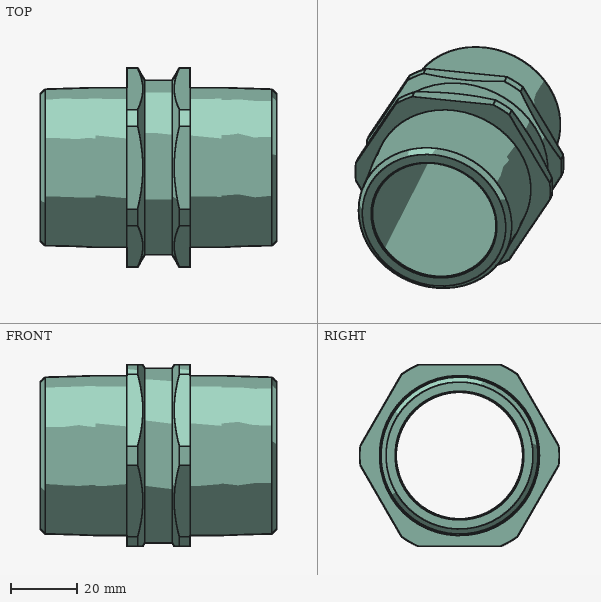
import cadquery as cq
import math

length = 71.7
body_diameter = 48.5
bore_diameter = 38.3
bore_chamfer = 0.35

taper_start = 19.0
taper_ratio = 1 / 16
end_chamfer = 1.5

across_flats = 55.0
corner_diameter = 60.45
collar_outer_face = 9.55
corner_land = 3.2
band_diameter = 53.0
collar_cone_angle = 30.0

half_length = length / 2
body_radius = body_diameter / 2
bore_radius = bore_diameter / 2
corner_radius = corner_diameter / 2
band_radius = band_diameter / 2
chamfer_start = half_length - end_chamfer
tip_radius = body_radius - (chamfer_start - taper_start) * taper_ratio / 2
land_end = collar_outer_face - corner_land
cone_length = (corner_radius - band_radius) * math.tan(math.radians(collar_cone_angle))
cone_end = land_end - cone_length


def revolve_symmetric(half_profile):
    """Revolve about X a profile of (x, radius) points mirrored across x = 0."""
    mirrored = [(-x, radius) for x, radius in reversed(half_profile)]
    outline = mirrored + half_profile
    return cq.Workplane("XY").polyline(outline).close().revolve(360, (0, 0, 0), (1, 0, 0))


def make_body():
    return revolve_symmetric([
        (taper_start, body_radius),
        (chamfer_start, tip_radius),
        (half_length, tip_radius - end_chamfer),
        (half_length, 0),
    ])


def make_collars():
    """Hexagonal prism trimmed to rounded corners and coned inner faces, with the band between."""
    hexagon_diameter = across_flats / math.cos(math.radians(30))
    hexagon = (
        cq.Workplane("YZ")
        .polygon(6, hexagon_diameter)
        .extrude(collar_outer_face, both=True)
    )
    envelope = revolve_symmetric([
        (cone_end, band_radius),
        (land_end, corner_radius),
        (collar_outer_face, corner_radius),
        (collar_outer_face, 0),
    ])
    return hexagon.intersect(envelope)


def make_bore():
    return revolve_symmetric([
        (half_length - bore_chamfer, bore_radius),
        (half_length, bore_radius + bore_chamfer),
        (half_length, 0),
    ])


result = make_body().union(make_collars()).cut(make_bore())